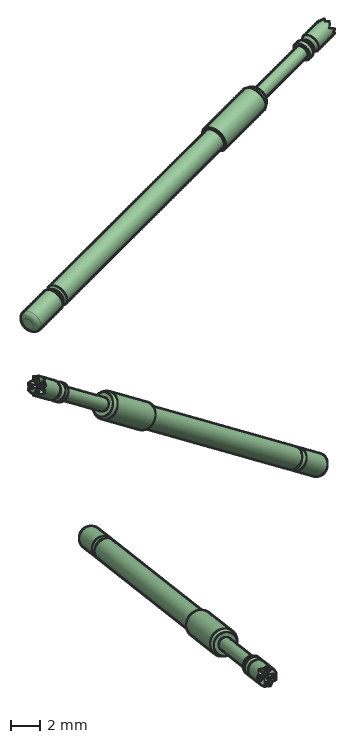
import math

import cadquery as cq

TOTAL_LENGTH = 35.3

BARREL_RADIUS = 0.83
TAIL_FLAT_RADIUS = 0.45
TAIL_ROUND_LENGTH = 0.35
DETENT_START = 2.9
DETENT_TAIL_RAMP = 0.31
DETENT_CROWN_RAMP = 0.21
DETENT_DEPTH = 0.15

COLLAR_RADIUS = 1.0
COLLAR_START = 21.95
COLLAR_END = 27.0
COLLAR_CHAMFER_LENGTH = 0.35
COLLAR_CHAMFER_DEPTH = 0.15

PLUNGER_RADIUS = 0.5
HEAD_RADIUS = 0.7
HEAD_LENGTH = 2.98
NECK_LENGTH = 0.64
NECK_OFFSET = 0.38
NECK_DEPTH = 0.15

HOLLOW_DEPTH = 0.45
PAIR_HALF_ANGLE = 18
GAP_HALF_ANGLE = 45 - PAIR_HALF_ANGLE
NARROW_GROOVE_DEPTH = 0.2
WIDE_GROOVE_DEPTH = 0.4


def turned_body():
    """Revolve the half outline of the pin about the Y axis."""
    head_start = TOTAL_LENGTH - HEAD_LENGTH
    neck_start = head_start + NECK_OFFSET
    neck_end = neck_start + NECK_LENGTH
    detent_floor_radius = BARREL_RADIUS - DETENT_DEPTH
    detent_floor = DETENT_START + DETENT_TAIL_RAMP
    detent_end = detent_floor + DETENT_CROWN_RAMP

    diagonal = math.sqrt(0.5)
    tail_mid_radius = TAIL_FLAT_RADIUS + (BARREL_RADIUS - TAIL_FLAT_RADIUS) * diagonal
    tail_mid_length = TAIL_ROUND_LENGTH * (1 - diagonal)

    outline = (
        cq.Workplane("XY")
        .moveTo(0, 0)
        .lineTo(TAIL_FLAT_RADIUS, 0)
        .threePointArc((tail_mid_radius, tail_mid_length), (BARREL_RADIUS, TAIL_ROUND_LENGTH))
        .lineTo(BARREL_RADIUS, DETENT_START)
        .lineTo(detent_floor_radius, detent_floor)
        .lineTo(BARREL_RADIUS, detent_end)
        .lineTo(BARREL_RADIUS, COLLAR_START)
        .lineTo(COLLAR_RADIUS, COLLAR_START)
        .lineTo(COLLAR_RADIUS, COLLAR_END - COLLAR_CHAMFER_LENGTH)
        .lineTo(COLLAR_RADIUS - COLLAR_CHAMFER_DEPTH, COLLAR_END)
        .lineTo(PLUNGER_RADIUS, COLLAR_END)
        .lineTo(PLUNGER_RADIUS, head_start)
        .lineTo(HEAD_RADIUS, head_start)
        .lineTo(HEAD_RADIUS, neck_start)
        .lineTo(HEAD_RADIUS - NECK_DEPTH, (neck_start + neck_end) / 2)
        .lineTo(HEAD_RADIUS, neck_end)
        .lineTo(HEAD_RADIUS, TOTAL_LENGTH)
        .lineTo(0, TOTAL_LENGTH - HOLLOW_DEPTH)
        .close()
    )
    return outline.revolve(360, (0, 0, 0), (0, 1, 0))


def crown_groove(half_angle, depth, direction):
    """V groove across the head face, spanning half_angle either side of its line at the rim."""
    half_width = HEAD_RADIUS * math.sin(math.radians(half_angle))
    groove = (
        cq.Workplane("XY")
        .moveTo(-half_width, TOTAL_LENGTH)
        .lineTo(0, TOTAL_LENGTH - depth)
        .lineTo(half_width, TOTAL_LENGTH)
        .close()
        .extrude(2 * HEAD_RADIUS, both=True)
    )
    return groove.rotate((0, 0, 0), (0, 1, 0), direction)


result = turned_body()
for turn in (0, 90):
    result = result.cut(crown_groove(PAIR_HALF_ANGLE, NARROW_GROOVE_DEPTH, turn))
    result = result.cut(crown_groove(GAP_HALF_ANGLE, WIDE_GROOVE_DEPTH, turn + 45))